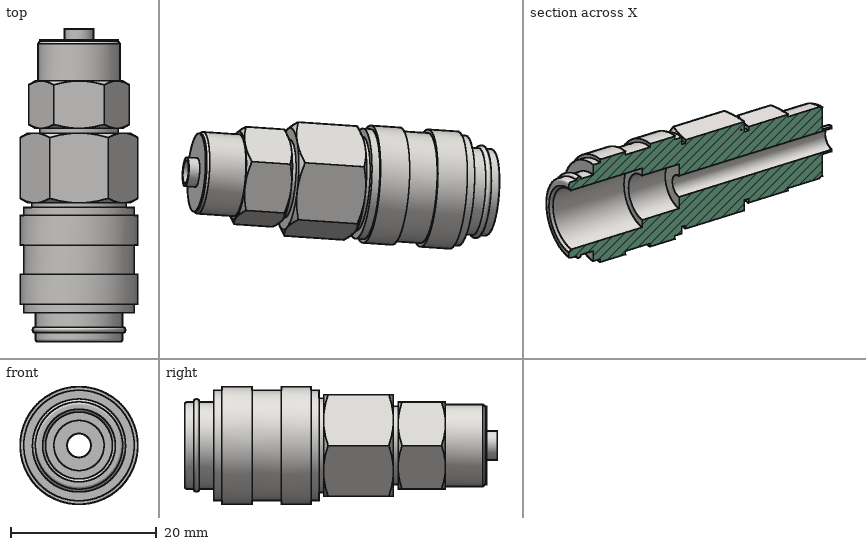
import cadquery as cq
import math


SLEEVE_START = 4.0
FRONT_BAND_START = 5.15
FRONT_BAND_END = 9.3
REAR_BAND_START = 13.3
REAR_BAND_END = 17.4
SLEEVE_END = 18.5
BODY_HEX_START = 19.1
BODY_HEX_END = 28.7
NUT_HEX_START = 29.35
NUT_HEX_END = 35.85
NUT_BARREL_END = 41.5
TOTAL_LENGTH = 43.0

NOSE_DIAMETER = 12.0
SLEEVE_DIAMETER = 15.2
BAND_DIAMETER = 16.2
BODY_NECK_DIAMETER = 13.0
NUT_NECK_DIAMETER = 10.8
NUT_BARREL_DIAMETER = 11.3
HOSE_STEM_DIAMETER = 4.0

BODY_HEX_FLATS = 14.0
NUT_HEX_FLATS = 12.0
HEX_CHAMFER_ANGLE = 30.0

NOSE_FILLET = 0.4
RING_CENTRE = 1.65
RING_RADIUS = 0.4

BARREL_RIM_DIAMETER = 10.8
BARREL_RIM_LENGTH = 0.2
BARREL_CONE_LENGTH = 0.35

SOCKET_DIAMETER = 9.2
SOCKET_DEPTH = 12.0
MOUTH_CHAMFER = 0.4
PLUG_BORE_DIAMETER = 6.9
PLUG_BORE_DEPTH = 18.0
FLOW_BORE_DIAMETER = 3.25


def cylinder(diameter, start, end):
    """Solid cylinder on the Y axis between two stations."""
    direction = cq.Vector(0, 1, 0)
    return cq.Workplane(cq.Solid.makeCylinder(diameter / 2, end - start, cq.Vector(0, start, 0), direction))


def cone(start_diameter, end_diameter, start, end):
    """Solid truncated cone on the Y axis between two stations."""
    origin = cq.Vector(0, start, 0)
    direction = cq.Vector(0, 1, 0)
    return cq.Workplane(cq.Solid.makeCone(start_diameter / 2, end_diameter / 2, end - start, origin, direction))


def hexagon(flats, start, end):
    """Hexagon with flats facing +Z and -Z, its corners turned off by a cone at both ends."""
    corners = flats / math.cos(math.radians(30))
    length = end - start
    prism = cq.Workplane("XZ", origin=(0, start, 0)).polygon(6, corners).extrude(-length)
    corner_drop = (corners - flats) / 2 * math.tan(math.radians(HEX_CHAMFER_ANGLE))
    turned_blank = (
        cq.Workplane("XY")
        .moveTo(0, start)
        .lineTo(flats / 2, start)
        .lineTo(corners / 2, start + corner_drop)
        .lineTo(corners / 2, end - corner_drop)
        .lineTo(flats / 2, end)
        .lineTo(0, end)
        .close()
        .revolve(360, (0, 0, 0), (0, 1, 0))
    )
    return prism.intersect(turned_blank)


def nose():
    """Rounded socket nose carrying a half-round ring."""
    tube = cylinder(NOSE_DIAMETER, 0, SLEEVE_START).faces("<Y").edges().fillet(NOSE_FILLET)
    ring = cq.Workplane(
        cq.Solid.makeTorus(NOSE_DIAMETER / 2, RING_RADIUS, cq.Vector(0, RING_CENTRE, 0), cq.Vector(0, 1, 0))
    )
    return tube.union(ring)


def sleeve():
    """Sliding sleeve with two raised grip bands."""
    grip = cylinder(SLEEVE_DIAMETER, SLEEVE_START, SLEEVE_END)
    for start, end in ((FRONT_BAND_START, FRONT_BAND_END), (REAR_BAND_START, REAR_BAND_END)):
        grip = grip.union(cylinder(BAND_DIAMETER, start, end))
    return grip


def nut_barrel():
    """Round rear part of the hose nut with its stepped, bevelled end."""
    rim_start = NUT_BARREL_END - BARREL_RIM_LENGTH
    cone_start = rim_start - BARREL_CONE_LENGTH
    barrel = cylinder(NUT_BARREL_DIAMETER, NUT_HEX_END, cone_start)
    bevel = cone(NUT_BARREL_DIAMETER, BARREL_RIM_DIAMETER, cone_start, rim_start)
    rim = cylinder(BARREL_RIM_DIAMETER, rim_start, NUT_BARREL_END)
    return barrel.union(bevel).union(rim)


def bore():
    """Socket with a bevelled mouth, stepping down to the flow bore that runs right through."""
    mouth_diameter = SOCKET_DIAMETER + 2 * MOUTH_CHAMFER
    mouth = cone(mouth_diameter, SOCKET_DIAMETER, 0, MOUTH_CHAMFER)
    socket = cylinder(SOCKET_DIAMETER, 0, SOCKET_DEPTH)
    plug_bore = cylinder(PLUG_BORE_DIAMETER, 0, PLUG_BORE_DEPTH)
    flow_bore = cylinder(FLOW_BORE_DIAMETER, 0, TOTAL_LENGTH)
    return mouth.union(socket).union(plug_bore).union(flow_bore)


result = (
    nose()
    .union(sleeve())
    .union(cylinder(BODY_NECK_DIAMETER, SLEEVE_END, BODY_HEX_START))
    .union(hexagon(BODY_HEX_FLATS, BODY_HEX_START, BODY_HEX_END))
    .union(cylinder(NUT_NECK_DIAMETER, BODY_HEX_END, NUT_HEX_START))
    .union(hexagon(NUT_HEX_FLATS, NUT_HEX_START, NUT_HEX_END))
    .union(nut_barrel())
    .union(cylinder(HOSE_STEM_DIAMETER, NUT_BARREL_END, TOTAL_LENGTH))
    .cut(bore())
)